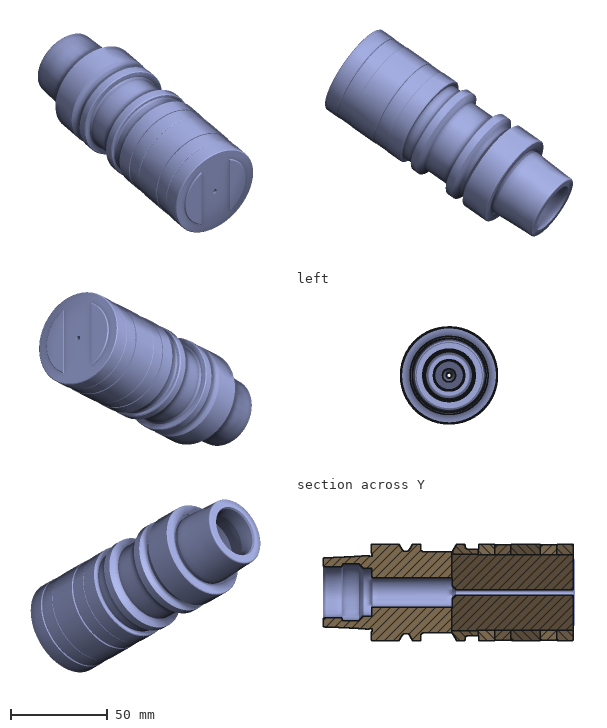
import cadquery as cq
import math


TOTAL_LENGTH = 129.9
BODY_RADIUS = 25.0

TAPER_END = 22.7
SHOULDER = 24.8
FIRST_FLANGE_END = 39.2
SECOND_FLANGE_START = 46.1
SECOND_FLANGE_END = 50.5
SHANK_END = 66.5
COLLAR_FLANGE_START = 68.8
COLLAR_FLANGE_END = 73.4
SLEEVE_STARTS = [80.1, 88.7, 97.0, 112.2, 120.5]
STACK_END = 129.1

NOSE_ROUNDING = 0.9
TAPER_ROOT_RADIUS = 19.1
RELIEF_START = 23.5
RELIEF_DEPTH = 0.3
RELIEF_RAMP = 0.5
TAPER_SLOPE = 0.05
FACE_GROOVE_RADIUS = 20.1
FACE_GROOVE_DEPTH = 0.5
GROOVE_RADIUS = 21.4
GROOVE_WALL_ANGLE = 30.0
GROOVE_CORNER = 0.6
NECK_RADIUS = 21.0
NECK_CORNER_LENGTH = 1.0
NECK_CORNER_RISE = 0.8
EDGE_CHAMFER = 0.4

BORE_MOUTH_RADIUS = 13.5
BORE_MOUTH_DEPTH = 1.2
BORE_RADIUS = 13.0
CLAMP_EDGE = 9.5
CLAMP_RADIUS = 14.5
CLAMP_ANGLE = 60.0
CLAMP_END = 18.5
BORE_FLOOR_RADIUS = 12.2
BORE_FLOOR = 25.0
BACK_BORE_RADIUS = 7.5
BACK_BORE_CHAMFER = 0.5

COLLAR_REAR_RADIUS = 22.5
COLLAR_CORNER_LENGTH = 1.0
COLLAR_CORNER_RISE = 0.6
COLLAR_CHAMFER = 0.5

CORE_RADIUS = 19.6
CORE_HOLE_RADIUS = 1.3
COUNTERSINK_RADIUS = 3.4
COUNTERSINK_DEPTH = 2.1
RING_RADIUS = 24.8
KEY_GAP = 18.0
KEY_CHAMFER = 0.4


def turned(outline):
    """Solid made by turning a closed (x, radius) outline about the X axis."""
    return outline.close().revolve(360, (0, 0, 0), (1, 0, 0))


def cylinder(start, end, radius):
    return cq.Workplane("YZ", origin=(start, 0, 0)).circle(radius).extrude(end - start)


def make_shank():
    nose_radius = TAPER_ROOT_RADIUS - TAPER_SLOPE * (TAPER_END - NOSE_ROUNDING)
    nose_rounding_bulge = NOSE_ROUNDING * (1 - math.sqrt(0.5))
    wall_rise = BODY_RADIUS - GROOVE_RADIUS - GROOVE_CORNER
    wall_length = wall_rise * math.tan(math.radians(GROOVE_WALL_ANGLE))
    body = turned(
        cq.Workplane("XY")
        .moveTo(0, 0)
        .lineTo(0, nose_radius - NOSE_ROUNDING)
        .threePointArc(
            (nose_rounding_bulge, nose_radius - nose_rounding_bulge),
            (NOSE_ROUNDING, nose_radius),
        )
        .lineTo(TAPER_END, TAPER_ROOT_RADIUS)
        .lineTo(RELIEF_START, TAPER_ROOT_RADIUS)
        .lineTo(RELIEF_START + RELIEF_RAMP, TAPER_ROOT_RADIUS - RELIEF_DEPTH)
        .lineTo(SHOULDER + FACE_GROOVE_DEPTH, TAPER_ROOT_RADIUS - RELIEF_DEPTH)
        .lineTo(SHOULDER + FACE_GROOVE_DEPTH, FACE_GROOVE_RADIUS)
        .lineTo(SHOULDER, FACE_GROOVE_RADIUS)
        .lineTo(SHOULDER, BODY_RADIUS - EDGE_CHAMFER)
        .lineTo(SHOULDER + EDGE_CHAMFER, BODY_RADIUS)
        .lineTo(FIRST_FLANGE_END, BODY_RADIUS)
        .lineTo(FIRST_FLANGE_END + wall_length, GROOVE_RADIUS + GROOVE_CORNER)
        .lineTo(FIRST_FLANGE_END + wall_length + GROOVE_CORNER, GROOVE_RADIUS)
        .lineTo(SECOND_FLANGE_START - wall_length - GROOVE_CORNER, GROOVE_RADIUS)
        .lineTo(SECOND_FLANGE_START - wall_length, GROOVE_RADIUS + GROOVE_CORNER)
        .lineTo(SECOND_FLANGE_START, BODY_RADIUS)
        .lineTo(SECOND_FLANGE_END - EDGE_CHAMFER, BODY_RADIUS)
        .lineTo(SECOND_FLANGE_END, BODY_RADIUS - EDGE_CHAMFER)
        .lineTo(SECOND_FLANGE_END, NECK_RADIUS + NECK_CORNER_RISE)
        .lineTo(SECOND_FLANGE_END + NECK_CORNER_LENGTH, NECK_RADIUS)
        .lineTo(SHANK_END, NECK_RADIUS)
        .lineTo(SHANK_END, 0)
    )
    return body.cut(make_shank_bore())


def make_shank_bore():
    clamp_length = (CLAMP_RADIUS - BORE_RADIUS) / math.tan(math.radians(CLAMP_ANGLE))
    clamp_end_length = CLAMP_RADIUS - BORE_FLOOR_RADIUS
    return turned(
        cq.Workplane("XY")
        .moveTo(0, 0)
        .lineTo(0, BORE_MOUTH_RADIUS)
        .lineTo(BORE_MOUTH_DEPTH, BORE_RADIUS)
        .lineTo(CLAMP_EDGE, BORE_RADIUS)
        .lineTo(CLAMP_EDGE + clamp_length, CLAMP_RADIUS)
        .lineTo(CLAMP_END, CLAMP_RADIUS)
        .lineTo(CLAMP_END + clamp_end_length, BORE_FLOOR_RADIUS)
        .lineTo(BORE_FLOOR, BORE_FLOOR_RADIUS)
        .lineTo(BORE_FLOOR, BACK_BORE_RADIUS + BACK_BORE_CHAMFER)
        .lineTo(BORE_FLOOR + BACK_BORE_CHAMFER, BACK_BORE_RADIUS)
        .lineTo(SHANK_END, BACK_BORE_RADIUS)
        .lineTo(SHANK_END, 0)
    )


def make_collar():
    return turned(
        cq.Workplane("XY")
        .moveTo(SHANK_END, CORE_RADIUS)
        .lineTo(SHANK_END, NECK_RADIUS)
        .lineTo(COLLAR_FLANGE_START, BODY_RADIUS)
        .lineTo(COLLAR_FLANGE_END - COLLAR_CHAMFER, BODY_RADIUS)
        .lineTo(COLLAR_FLANGE_END, BODY_RADIUS - COLLAR_CHAMFER)
        .lineTo(COLLAR_FLANGE_END, COLLAR_REAR_RADIUS + COLLAR_CORNER_RISE)
        .lineTo(COLLAR_FLANGE_END + COLLAR_CORNER_LENGTH, COLLAR_REAR_RADIUS)
        .lineTo(SLEEVE_STARTS[0], COLLAR_REAR_RADIUS)
        .lineTo(SLEEVE_STARTS[0], CORE_RADIUS)
    )


def make_core():
    return turned(
        cq.Workplane("XY")
        .moveTo(SHANK_END, COUNTERSINK_RADIUS)
        .lineTo(SHANK_END, CORE_RADIUS)
        .lineTo(STACK_END, CORE_RADIUS)
        .lineTo(STACK_END, CORE_HOLE_RADIUS)
        .lineTo(SHANK_END + COUNTERSINK_DEPTH, CORE_HOLE_RADIUS)
    )


def make_sleeve(start, end, radius, chamfered_faces):
    """Sleeve around the core, with the outer edges of the given end faces chamfered."""
    sleeve = cylinder(start, end, radius).faces(chamfered_faces).chamfer(EDGE_CHAMFER)
    return sleeve.cut(cylinder(start, end, CORE_RADIUS))


def make_key(side):
    """Drive key: the part of a chamfered disc beyond the gap, on the +Y or -Y side."""
    disc = cylinder(STACK_END, TOTAL_LENGTH, CORE_RADIUS).faces(">X").chamfer(KEY_CHAMFER)
    half_space = (
        cq.Workplane("XY")
        .box(TOTAL_LENGTH, BODY_RADIUS, 2 * BODY_RADIUS)
        .translate((TOTAL_LENGTH, side * (KEY_GAP + BODY_RADIUS) / 2, 0))
    )
    return disc.intersect(half_space)


shank = make_shank()
collar = make_collar()
core = make_core()

sleeves = []
sleeve_ends = SLEEVE_STARTS[1:] + [STACK_END]
for index, (start, end) in enumerate(zip(SLEEVE_STARTS, sleeve_ends)):
    is_ring = index % 2 == 1
    radius = RING_RADIUS if is_ring else BODY_RADIUS
    chamfered_faces = "<X or >X" if is_ring or end == STACK_END else "<X"
    sleeves.append(make_sleeve(start, end, radius, chamfered_faces))

keys = [make_key(side) for side in (-1, 1)]

result = cq.Compound.makeCompound(
    [
        shank.val(),
        collar.val(),
        core.val(),
        *[sleeve.val() for sleeve in sleeves],
        *[key.val() for key in keys],
    ]
)